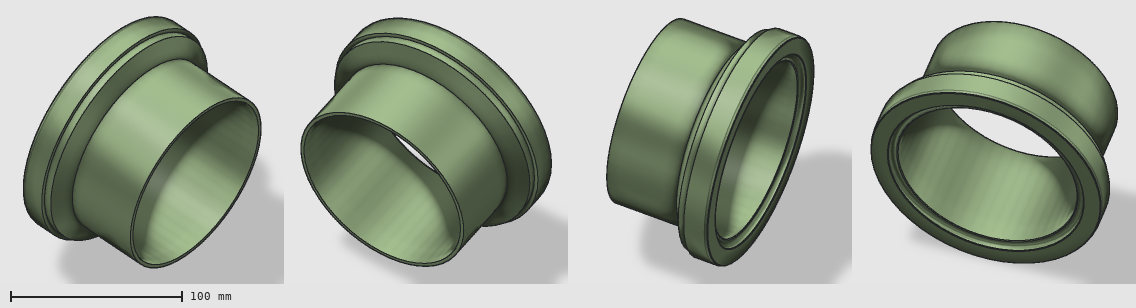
import cadquery as cq

length = 72.0
flange_radius = 141.9 / 2
tube_radius = 114.2 / 2
bore_radius = 109.7 / 2

flange_thickness = 15.2
collar_radius = 137.0 / 2
collar_end = 20.0
cone_end = 26.7

rim_taper_length = 2.0
rim_taper_drop = 0.4
rim_chamfer = 0.4

groove_mouth_radius = 60.3
groove_mouth_chamfer = 0.4
groove_outer_radius = groove_mouth_radius - groove_mouth_chamfer
groove_inner_radius = 56.2
groove_floor_radius = 57.5
groove_depth = 3.7

lip_crest_radius = 55.5
lip_setback = 3.0
lip_shoulder = 3.4


def make_body():
    """Revolve the wall section, drawn as (x, radius), about the X axis."""
    tapered_radius = flange_radius - rim_taper_drop
    section = (
        cq.Workplane("XY")
        .moveTo(0, groove_mouth_radius)
        .lineTo(0, tapered_radius - rim_chamfer)
        .lineTo(rim_chamfer, tapered_radius)
        .lineTo(rim_taper_length, flange_radius)
        .lineTo(flange_thickness, flange_radius)
        .lineTo(flange_thickness, collar_radius)
        .lineTo(collar_end, collar_radius)
        .lineTo(cone_end, tube_radius)
        .lineTo(length, tube_radius)
        .lineTo(length, bore_radius)
        .lineTo(lip_shoulder, bore_radius)
        .lineTo(lip_setback, lip_crest_radius)
        .lineTo(lip_shoulder, groove_inner_radius)
        .threePointArc((groove_depth, groove_floor_radius), (groove_mouth_chamfer, groove_outer_radius))
        .close()
    )
    return section.revolve(360, (0, 0, 0), (1, 0, 0))


result = make_body()